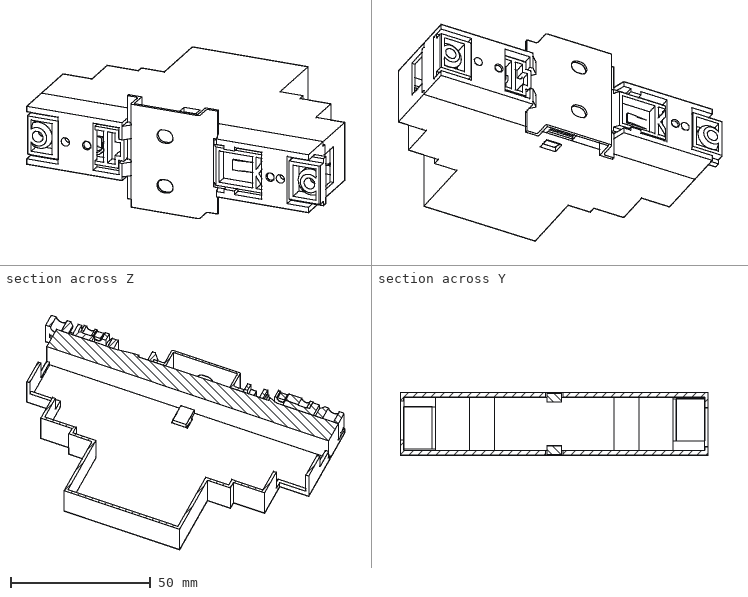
import cadquery as cq


body_width = 110.0
body_height = 22.5
body_half_x = body_width / 2
body_half_z = body_height / 2
cover_steps = [(45.1, 75.5), (63.1, 50.6), (87.3, 47.9), (body_width, 34.4)]
seam_y = 15.2
wall_gauge = 1.3
tongue_half_z = 9.5
tongue_rise = 1.4
tongue_y = seam_y + tongue_rise
base_front_y = 2.1

rail_length = 40.0
rail_width = 35.2
rail_depth = 7.7
rail_gauge = 1.0
channel_width = 26.9
rail_centre_x = -0.1
flange_fillet = 0.8
corner_fillet = 0.7
slot_length = 6.2
slot_width = 5.0
slot_spacing = 19.3
rail_left_x = rail_centre_x - rail_width / 2
rail_right_x = rail_centre_x + rail_width / 2
flange_front_y = rail_depth - rail_gauge

terminal_window = (body_half_x, seam_y, 24.2, -5.7, 8.1)
step_window = (cover_steps[2][0] / 2, cover_steps[3][1], 37.3, -8.9, 6.1)

latch_window_x = 6.2
latch_window_y = (19.2, 23.9)
latch_arm_x = 5.3
latch_arm_z = 1.7
barb_top_z = 11.0
notch_x = 10.1
notch_floor_z = 9.8
notch_ledge_z = 10.4
notch_ledge_y = 14.2

channel_floor_y = rail_depth
bridge_back_y = 5.5
foot_half_z = 9.1
left_bridge = (-42.7, -29.0)
right_bridge = (36.7, 46.6)
hook_wall_x = -19.0
bevel_x = 1.6
tab_x = (22.0, 26.1)
tab_half_gap = 7.8

hook_tip = (-15.0, 4.8)
hook_flat_x = -16.6
hook_z = (4.6, 9.8)

tooth_half_z = 2.0
left_tooth = (-27.7, -27.7, -30.7, 1.4)
right_tooth = (23.2, 25.4, 31.2, 0.7)

hole_radius = 1.6
open_hole_x = (-39.9, 44.0)
pin_hole_x = (-31.5, 40.0)
pin_radius = 1.4
pin_recess = 0.6

end_block_front_y = 2.4
inner_block_front_y = 3.5
foot_body_half_z = 7.4
pocket_half_z = 6.1
end_chamfer = 0.3
spring_foot_end_x = 59.3
ring_offset = 4.1
ring_radius = 5.0
ring_face_radius = 3.5
ring_bore_radius = 2.1
end_wall = 1.6
left_end_pocket_x = 8.1
right_end_pocket_x = 8.9
right_block_x = 47.3
fixed_foot_end_x = -19.8
neck_half_z = 4.3
curl_pocket_x = (-33.1, -25.6)
tee_pocket_x = (-24.1, -21.1, -19.1)
tee_stem_half_z = 2.6
curl_centre = (-30.3, -0.3)
curl_inner_radius = 3.4
curl_outer_radius = 4.3
curl_top_z = 0.6
nose_tip = (16.1, 6.2)
nose_back_x = 18.2
tooth_pocket_x = (19.4, 32.6)
lattice_pocket_x = (34.0, 41.1)
strut_slope = 1.5
strut_tip_x = 1.0
strut_root_z = 1.4


def box(x_range, y_range, z_range):
    """Box between pairs of limits, given in either order."""
    limits = [sorted(pair) for pair in (x_range, y_range, z_range)]
    sizes = [high - low for low, high in limits]
    corner = tuple(low for low, high in limits)
    return cq.Workplane("XY").box(*sizes, centered=False).translate(corner)


def plate(points, z_range):
    """Outline in X and Y, extruded between two heights."""
    low, high = z_range
    return cq.Workplane("XY").workplane(offset=low).polyline(points).close().extrude(high - low)


def both_ways(half):
    return (-half, half)


def bore(x, z, radius, y_range):
    """Round bar along Y."""
    front, back = y_range
    plane = cq.Plane(origin=(x, front, z), xDir=(1, 0, 0), normal=(0, 1, 0))
    return cq.Workplane(plane).circle(radius).extrude(back - front)


def stepped_block(inset, half_z):
    """Stack of centred blocks from the seam, each narrower one reaching further back."""
    block = None
    for width, back_y in cover_steps:
        step = box(both_ways(width / 2 - inset), (seam_y, back_y - inset), both_ways(half_z))
        block = step if block is None else block.union(step)
    return block


def cut_side_window(cover, window):
    """The same window in both ends; the +X one is turned half a turn about Y."""
    face_x, front_y, back_y, low_z, high_z = window
    cutter = box((-face_x, wall_gauge - face_x), (front_y, back_y), (low_z, high_z))
    return cover.cut(cutter).cut(cutter.rotate((0, 0, 0), (0, 1, 0), 180))


def make_cover():
    cover = stepped_block(0, body_half_z).cut(stepped_block(wall_gauge, tongue_half_z))
    for window in (terminal_window, step_window):
        cover = cut_side_window(cover, window)
    step_x, shoulder_y, _, low_z, high_z = step_window
    opening_x = (wall_gauge - body_half_x, wall_gauge - step_x)
    back_opening = box(opening_x, (shoulder_y - wall_gauge, shoulder_y), (low_z, high_z))
    cover = cover.cut(back_opening).cut(back_opening.rotate((0, 0, 0), (0, 1, 0), 180))
    tongue_gap = box(both_ways(body_half_x), (seam_y, tongue_y), both_ways(tongue_half_z))
    latch_gap = box(both_ways(latch_window_x / 2), latch_window_y, both_ways(body_half_z))
    return cover.cut(tongue_gap).cut(latch_gap)


def make_latch(side):
    """Snap arm behind the base with a barb that slopes down toward the back."""
    barb_front, arm_end = latch_window_y
    inner_z = tongue_half_z - latch_arm_z
    profile = [
        (tongue_y, inner_z), (tongue_y, tongue_half_z), (barb_front, tongue_half_z),
        (barb_front, barb_top_z), (arm_end, tongue_half_z), (arm_end, inner_z),
    ]
    outline = [(y, side * z) for y, z in profile]
    return cq.Workplane("YZ").polyline(outline).close().extrude(latch_arm_x / 2, both=True)


def make_notch(side):
    """Shallow relief in a side of the base, with a low ledge along the seam."""
    across = both_ways(notch_x / 2)
    floor = box(across, (rail_depth, notch_ledge_y), (side * notch_floor_z, side * body_half_z))
    ledge = box(across, (notch_ledge_y, seam_y), (side * notch_ledge_z, side * body_half_z))
    return floor.union(ledge)


def make_hook(side):
    """Fixed claw that holds the left flange of the rail."""
    outline = [
        (hook_wall_x, flange_front_y), (hook_flat_x, flange_front_y), hook_tip,
        (rail_left_x, base_front_y), (hook_wall_x, base_front_y),
    ]
    return plate(outline, sorted(side * z for z in hook_z))


def make_tooth(tooth):
    tip_x, ramp_start_x, ramp_end_x, height = tooth
    top_y = channel_floor_y - height
    outline = [(tip_x, channel_floor_y), (tip_x, top_y)]
    if ramp_start_x != tip_x:
        outline.append((ramp_start_x, top_y))
    outline.append((ramp_end_x, channel_floor_y))
    return plate(outline, both_ways(tooth_half_z))


def make_base():
    base = box(both_ways(body_half_x), (base_front_y, seam_y), both_ways(body_half_z))
    base = base.union(box(both_ways(body_half_x), (seam_y, tongue_y), both_ways(tongue_half_z)))

    rail_recess = plate(
        [(rail_left_x, base_front_y), (rail_left_x, rail_depth),
         (rail_right_x, rail_depth), (rail_right_x + bevel_x, base_front_y)],
        both_ways(body_half_z),
    )
    base = base.cut(rail_recess)

    full_z = both_ways(foot_half_z)
    under_y = (bridge_back_y, channel_floor_y)
    open_y = (base_front_y, bridge_back_y)
    base = base.cut(box((-body_half_x, hook_wall_x), under_y, full_z))
    base = base.cut(box((rail_right_x, body_half_x), under_y, full_z))
    base = base.cut(box((-body_half_x, left_bridge[0]), open_y, full_z))
    base = base.cut(box((left_bridge[1], hook_wall_x), open_y, full_z))
    base = base.cut(box((rail_right_x, right_bridge[0]), open_y, full_z))
    base = base.cut(box((right_bridge[1], body_half_x), open_y, full_z))
    neck_y = (base_front_y, channel_floor_y)
    base = base.cut(box((hook_wall_x, rail_left_x), neck_y, both_ways(hook_z[0])))

    for tooth in (left_tooth, right_tooth):
        base = base.union(make_tooth(tooth))
    for x in open_hole_x + pin_hole_x:
        base = base.cut(bore(x, 0, hole_radius, open_y))
    for side in (1, -1):
        base = base.cut(make_notch(side))
        base = base.union(make_latch(side)).union(make_hook(side))
        base = base.union(box(tab_x, open_y, (side * tab_half_gap, side * foot_half_z)))
    return base


def make_pin(x):
    return bore(x, 0, pin_radius, (base_front_y + pin_recess, bridge_back_y))


def make_rail():
    half_channel = channel_width / 2
    half_inside = half_channel - rail_gauge
    right_half = [
        (half_inside, rail_gauge), (half_inside, rail_depth), (rail_width / 2, rail_depth),
        (rail_width / 2, flange_front_y), (half_channel, flange_front_y), (half_channel, 0),
    ]
    left_half = [(-x, y) for x, y in reversed(right_half)]
    rail = plate(right_half + left_half, both_ways(rail_length / 2))
    for side in (1, -1):
        edge_x = side * half_channel
        flange_bend = cq.selectors.NearestToPointSelector((edge_x, flange_front_y, 0))
        corner_bend = cq.selectors.NearestToPointSelector((edge_x, 0, 0))
        rail = rail.edges("|Z").edges(flange_bend).fillet(flange_fillet)
        rail = rail.edges("|Z").edges(corner_bend).fillet(corner_fillet)
    face = cq.Plane(origin=(0, 0, 0), xDir=(1, 0, 0), normal=(0, -1, 0))
    slots = (
        cq.Workplane(face)
        .pushPoints([(0, slot_spacing / 2), (0, -slot_spacing / 2)])
        .slot2D(slot_length, slot_width)
        .extrude(-rail_gauge)
    )
    return rail.cut(slots).translate((rail_centre_x, 0, 0))


flange_y = (bridge_back_y, channel_floor_y)
inner_block_y = (inner_block_front_y, channel_floor_y)
end_block_y = (end_block_front_y, channel_floor_y)


def inner_pocket(x_range, half_z):
    return box(x_range, inner_block_y, both_ways(half_z))


def add_foot_end(foot, end_x, inner_x, pocket_length, outward):
    """Adds the outer block of a foot: a pocket with a bevelled ring against its end wall."""
    block = box((inner_x, end_x), end_block_y, both_ways(foot_body_half_z))
    block = block.faces(">X" if outward > 0 else "<X").edges("<Y").chamfer(end_chamfer)
    wall_face_x = end_x - outward * end_wall
    pocket_x = (wall_face_x, wall_face_x - outward * pocket_length)
    pocket = box(pocket_x, end_block_y, both_ways(pocket_half_z))
    ring_x = end_x - outward * ring_offset
    ring = bore(ring_x, 0, ring_radius, end_block_y)
    ring = ring.faces("<Y").chamfer(ring_radius - ring_face_radius).intersect(pocket)
    ring_bore = bore(ring_x, 0, ring_bore_radius, end_block_y)
    return foot.union(block).cut(pocket).union(ring).cut(ring_bore)


def make_curl():
    """Springy curl in the fixed foot: a quarter ring that runs out to the pocket wall."""
    centre_x, centre_z = curl_centre
    pocket_start_x, pocket_end_x = curl_pocket_x
    lowest_z = centre_z - curl_outer_radius
    ring = bore(centre_x, centre_z, curl_outer_radius, flange_y)
    ring = ring.cut(bore(centre_x, centre_z, curl_inner_radius, flange_y))
    ring = ring.intersect(box((centre_x, pocket_end_x), flange_y, (lowest_z, curl_top_z)))
    tail = box((pocket_start_x, centre_x), flange_y, (lowest_z, centre_z - curl_inner_radius))
    return ring.union(tail)


def make_fixed_foot():
    foot = box((-body_half_x, fixed_foot_end_x), flange_y, both_ways(foot_half_z))
    foot = add_foot_end(foot, -body_half_x, left_bridge[0], left_end_pocket_x, -1)
    block_x = (left_bridge[1], fixed_foot_end_x)
    foot = foot.union(box(block_x, inner_block_y, both_ways(foot_body_half_z)))
    neck_y = (inner_block_front_y, flange_front_y)
    foot = foot.union(box((fixed_foot_end_x, rail_left_x), neck_y, both_ways(neck_half_z)))
    head_start_x, head_end_x, stem_end_x = tee_pocket_x
    foot = foot.cut(inner_pocket((head_start_x, head_end_x), pocket_half_z))
    foot = foot.cut(inner_pocket((head_end_x, stem_end_x), tee_stem_half_z))
    return foot.cut(inner_pocket(curl_pocket_x, pocket_half_z)).union(make_curl())


def make_strut(side):
    """Slanted strut across the lattice pocket, stepped down where it passes the bridge."""
    start_x = lattice_pocket_x[0]
    run_x = pocket_half_z / strut_slope
    root_run_x = strut_root_z / strut_slope
    outline = [
        (start_x, 0), (start_x + strut_tip_x, 0),
        (start_x + strut_tip_x + run_x, side * pocket_half_z),
        (start_x + run_x - root_run_x, side * pocket_half_z),
        (start_x, side * strut_root_z),
    ]
    front = cq.Plane(origin=(0, channel_floor_y, 0), xDir=(1, 0, 0), normal=(0, -1, 0))
    strut = cq.Workplane(front).polyline(outline).close().extrude(channel_floor_y - inner_block_front_y)
    bridge_x = (right_bridge[0], lattice_pocket_x[1])
    bridge_room = box(bridge_x, (inner_block_front_y, bridge_back_y), both_ways(pocket_half_z))
    return strut.cut(bridge_room)


def make_spring_foot():
    tip_x, tip_y = nose_tip
    nose_slope = (tip_y - inner_block_front_y) / (nose_back_x - tip_x)
    flange_start_x = tip_x + (tip_y - bridge_back_y) / nose_slope
    block_end_x = right_bridge[0]
    nose = [
        (rail_right_x, channel_floor_y), (rail_right_x, flange_front_y),
        (tip_x, flange_front_y), nose_tip,
    ]
    flange_outline = nose + [
        (flange_start_x, bridge_back_y),
        (spring_foot_end_x, bridge_back_y), (spring_foot_end_x, channel_floor_y),
    ]
    block_outline = nose + [
        (nose_back_x, inner_block_front_y),
        (block_end_x, inner_block_front_y), (block_end_x, channel_floor_y),
    ]
    foot = plate(flange_outline, both_ways(foot_half_z))
    foot = foot.union(plate(block_outline, both_ways(foot_body_half_z)))
    foot = add_foot_end(foot, spring_foot_end_x, right_block_x, right_end_pocket_x, 1)
    foot = foot.cut(inner_pocket(tooth_pocket_x, pocket_half_z))
    foot = foot.cut(inner_pocket(lattice_pocket_x, pocket_half_z))
    return foot.union(make_strut(1)).union(make_strut(-1))


cover = make_cover()
base = make_base()
rail = make_rail()
fixed_foot = make_fixed_foot()
spring_foot = make_spring_foot()
pins = [make_pin(x).val() for x in pin_hole_x]

result = cq.Compound.makeCompound(
    [cover.val(), base.val(), rail.val(), fixed_foot.val(), spring_foot.val(), *pins]
)